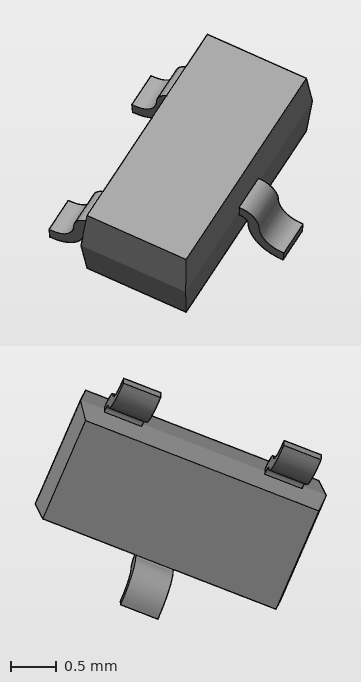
import cadquery as cq
import math

body_width = 1.3
body_length = 2.9
body_height = 1.0
side_inset = 0.035
end_inset = 0.075
standoff = 0.06
parting_z = standoff + body_height / 2

lead_span = 2.4
lead_thickness = 0.14
lead_width = 0.44
lead_pitch = 1.89
lead_top_z = 0.625
foot_length = 0.067
foot_droop = math.radians(4)
foot_bend_radius = 0.258


def body_half(outer_z):
    """Frustum from the parting plane to the smaller outer face at outer_z."""
    return (
        cq.Workplane("XY", origin=(0, 0, parting_z))
        .rect(body_width, body_length)
        .workplane(offset=outer_z - parting_z)
        .rect(body_width - 2 * side_inset, body_length - 2 * end_inset)
        .loft(ruled=True)
    )


def lead(side, center_y):
    """S-shaped strip leaving the body at side (+1 or -1) along X."""
    cos_droop = math.cos(foot_droop)
    sin_droop = math.sin(foot_droop)
    outer_bend_radius = foot_bend_radius + lead_thickness

    bend_x = lead_span / 2 - foot_length * cos_droop + foot_bend_radius * sin_droop
    bend_z = outer_bend_radius * cos_droop + foot_length * sin_droop

    knee_x = bend_x - foot_bend_radius
    shoulder_x = knee_x - (lead_top_z - bend_z)
    lead_bottom_z = lead_top_z - lead_thickness
    root_x = body_width / 4

    def at(x, z):
        return (side * x, z)

    def foot_point(radius, distance):
        """Point on the foot surface of this bend radius, at a distance past the bend."""
        return at(
            bend_x - radius * sin_droop + distance * cos_droop,
            bend_z - radius * cos_droop - distance * sin_droop,
        )

    profile = (
        cq.Workplane("XZ", origin=(0, center_y, 0))
        .moveTo(*at(root_x, lead_top_z))
        .lineTo(*at(shoulder_x, lead_top_z))
        .tangentArcPoint(at(knee_x, bend_z), relative=False)
        .tangentArcPoint(foot_point(foot_bend_radius, 0), relative=False)
        .lineTo(*foot_point(foot_bend_radius, foot_length))
        .lineTo(*foot_point(outer_bend_radius, foot_length))
        .lineTo(*foot_point(outer_bend_radius, 0))
        .tangentArcPoint(at(knee_x - lead_thickness, bend_z), relative=False)
        .tangentArcPoint(at(shoulder_x, lead_bottom_z), relative=False)
        .lineTo(*at(root_x, lead_bottom_z))
        .close()
    )
    return profile.extrude(lead_width / 2, both=True)


result = body_half(standoff).union(body_half(standoff + body_height))
for side, center_y in ((-1, -lead_pitch / 2), (-1, lead_pitch / 2), (1, 0)):
    result = result.union(lead(side, center_y))